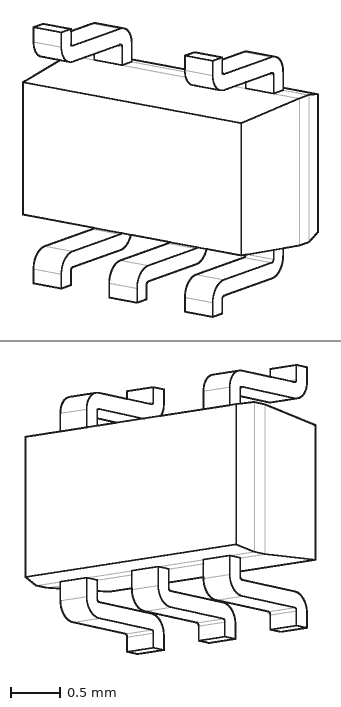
import cadquery as cq


total_height = 1.45
total_span = 2.7

lead_thickness = 0.168
lead_width = 0.35
lead_pitch = 0.95
inner_bend_radius = 0.03
outer_bend_radius = inner_bend_radius + lead_thickness
foot_length = 0.183

case_length = 2.9
case_width = 1.552
standoff = 0.157
top_taper_height = 0.225
top_inset = 0.05
bottom_inset = 0.078

band_top = total_height - top_taper_height
band_bottom = band_top - lead_thickness
bottom_taper_height = band_bottom - standoff
case_side = case_width / 2
foot_tip = total_span / 2
riser_outer = foot_tip - foot_length
riser_inner = riser_outer - lead_thickness


def level_plane(y, up=1):
    """Plane at height y facing along +Y or -Y, with its local x along X."""
    return cq.Plane(origin=(0, y, 0), xDir=(1, 0, 0), normal=(0, up, 0))


def make_taper(base_y, up, height, inset):
    """Part of the case that narrows evenly on all four sides away from the band."""
    return (
        cq.Workplane(level_plane(base_y, up))
        .rect(case_length, case_width)
        .workplane(offset=height)
        .rect(case_length - 2 * inset, case_width - 2 * inset)
        .loft(ruled=True, combine=True)
    )


def make_case():
    band = cq.Workplane(level_plane(band_bottom)).rect(case_length, case_width).extrude(lead_thickness)
    top = make_taper(band_top, 1, top_taper_height, top_inset)
    bottom = make_taper(band_bottom, -1, bottom_taper_height, bottom_inset)
    return band.union(top).union(bottom)


def make_lead(x):
    """Gull-wing lead on the +Z side, centred at x and butting against the case."""
    profile = [
        (band_bottom, case_side),
        (band_top, case_side),
        (band_top, riser_outer),
        (lead_thickness, riser_outer),
        (lead_thickness, foot_tip),
        (0, foot_tip),
        (0, riser_inner),
        (band_bottom, riser_inner),
    ]
    lead = cq.Workplane("YZ", origin=(x, 0, 0)).polyline(profile).close()
    lead = lead.extrude(lead_width / 2, both=True)

    def round_bend(body, y, z, radius):
        corner = cq.selectors.NearestToPointSelector((x, y, z))
        return body.edges("|X").edges(corner).fillet(radius)

    lead = round_bend(lead, band_top, riser_outer, outer_bend_radius)
    lead = round_bend(lead, band_bottom, riser_inner, inner_bend_radius)
    lead = round_bend(lead, lead_thickness, riser_outer, inner_bend_radius)
    return round_bend(lead, 0, riser_inner, outer_bend_radius)


case = make_case()

leads = []
for position in (-1, 1):
    leads.append(make_lead(position * lead_pitch))
for position in (-1, 0, 1):
    leads.append(make_lead(position * lead_pitch).mirror("XY"))

result = cq.Compound.makeCompound([case.val(), *[lead.val() for lead in leads]])